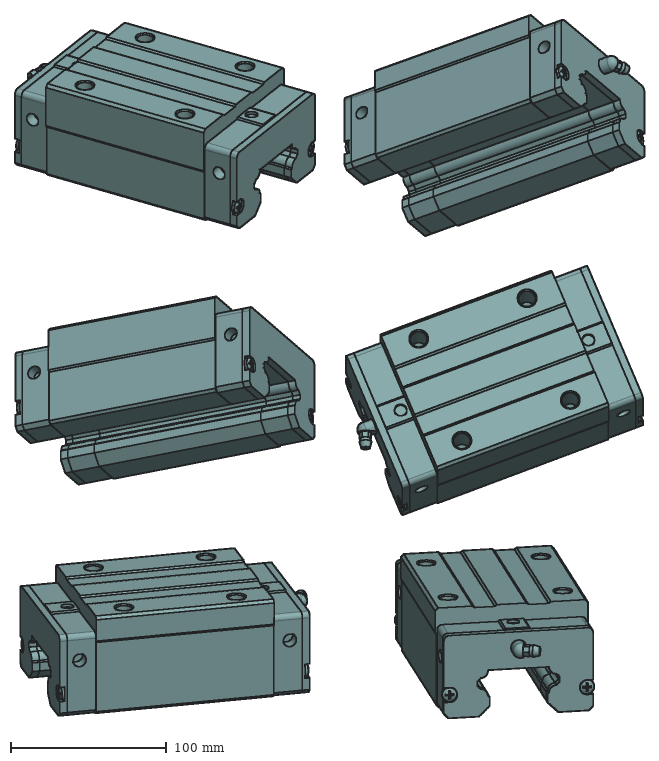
import cadquery as cq
import math


BLOCK_LENGTH = 118.2
CAP_LENGTH = 19.0
SEAL_THICKNESS = 5.0
BLOCK_END = BLOCK_LENGTH / 2
CAP_END = BLOCK_END + CAP_LENGTH
SEAL_END = CAP_END + SEAL_THICKNESS

BLOCK_WIDTH = 100.0
BLOCK_HEIGHT = 67.0
SKIRT_WIDTH = 98.5
SHOULDER_Z_FRONT = 36.0
SHOULDER_Z_BACK = 49.2
SHOULDER_SLOPE = 1.3
BLOCK_TOP_CHAMFER = 2.0
BLOCK_FOOT_CHAMFER = 1.8

GROOVE_DEPTH = 1.0
GROOVE_SIDE_RUN = 1.5
GROOVE_TOP_WIDTH = 16.0
GROOVE_OFFSET = 17.6

HOLE_PITCH = 74.9
HOLE_DIAMETER = 10.6
HOLE_MOUTH_DIAMETER = 12.4
HOLE_DEPTH = 21.5
DRILL_POINT_ANGLE = 118

OPENING_TOP_Z = 30.9
OPENING_TOP_HALF = 20.0
RACE_Z = 22.1
RACE_HALF_HEIGHT = 3.8
RACE_MOUTH_HALF = 24.6
RACE_WALL_HALF = 27.0
LOBE_RADIUS = RACE_MOUTH_HALF - OPENING_TOP_HALF
THROAT_HALF = 18.9
THROAT_TOP_Z = 12.8
THROAT_BOTTOM_Z = 6.8
MOUTH_HALF = 25.9

CAP_WIDTH = 97.5
CAP_HEIGHT = 55.7
CAP_TOP_RADIUS = 3.5
CAP_FOOT_CHAMFER = 2.9

PAD_HEIGHT = 1.0
PAD_BASE_WIDTH = 17.5
PAD_TOP_WIDTH = 15.3
TOP_PORT_X = 64.8
TOP_PORT_DIAMETER = 7.9
TOP_PORT_DEPTH = 2.0
SIDE_PORT_X = 69.9
SIDE_PORT_Z = 37.9
SIDE_PORT_DIAMETER = 8.6
SIDE_PORT_DEPTH = 9.0

SCREW_Y = 44.9
SCREW_Z = 15.6
SCREW_RADIUS = 4.8
SCREW_SEAT_DEPTH = 3.2
SCREW_RIM_THICKNESS = 1.8
CROSS_LENGTH = 5.4
CROSS_WIDTH = 0.9
CROSS_DEPTH = 1.6

NIPPLE_Z = 45.0
STUB_RADIUS = 5.0
STUB_LENGTH = 6.3
OUTLET_ANGLE = 20
OUTLET_FLAT = 2.2
HEX_END = 6.1
COLLAR_END = 8.5
TIP_END = 12.5
HEX_ACROSS_FLATS = 6.6
COLLAR_ROOT_RADIUS = 3.2
COLLAR_RADIUS = 4.0
TIP_RADIUS = 2.9
GREASE_HOLE_DIAMETER = 1.0
GREASE_HOLE_DEPTH = 1.8

ENDS = (-1, 1)
SIDES = (-1, 1)


def across(x):
    """Section plane at the given X: its local axes are Y and Z and it extrudes towards +X."""
    return cq.Workplane("YZ", origin=(x, 0, 0))


def on_arc(y, z, radius, degrees):
    """Point on a circle around (y, z)."""
    angle = math.radians(degrees)
    return y + radius * math.cos(angle), z + radius * math.sin(angle)


def opening_half(section, side):
    """Draw the opening's outline on one side from the roof down to the underside."""
    race_top = RACE_Z + RACE_HALF_HEIGHT
    race_bottom = RACE_Z - RACE_HALF_HEIGHT
    corner_chamfer = RACE_WALL_HALF - RACE_MOUTH_HALF
    upper_lobe_z = race_top + LOBE_RADIUS
    lower_lobe_z = race_bottom - LOBE_RADIUS
    upper_mid_y, upper_mid_z = on_arc(RACE_MOUTH_HALF, upper_lobe_z, LOBE_RADIUS, 225)
    lower_mid_y, lower_mid_z = on_arc(RACE_MOUTH_HALF, lower_lobe_z, LOBE_RADIUS, 135)
    return (
        section.moveTo(0, OPENING_TOP_Z)
        .lineTo(side * OPENING_TOP_HALF, OPENING_TOP_Z)
        .lineTo(side * OPENING_TOP_HALF, upper_lobe_z)
        .threePointArc((side * upper_mid_y, upper_mid_z), (side * RACE_MOUTH_HALF, race_top))
        .lineTo(side * RACE_WALL_HALF, race_top - corner_chamfer)
        .lineTo(side * RACE_WALL_HALF, race_bottom + corner_chamfer)
        .lineTo(side * RACE_MOUTH_HALF, race_bottom)
        .threePointArc((side * lower_mid_y, lower_mid_z), (side * OPENING_TOP_HALF, lower_lobe_z))
        .lineTo(side * THROAT_HALF, THROAT_TOP_Z)
        .lineTo(side * THROAT_HALF, THROAT_BOTTOM_Z)
        .lineTo(side * MOUTH_HALF, 0)
        .lineTo(0, 0)
        .close()
    )


def rail_opening(x, length):
    """Space for the rail, as a cutter."""
    halves = [opening_half(across(x), side).extrude(length) for side in SIDES]
    return halves[0].union(halves[1])


def make_block():
    half = BLOCK_WIDTH / 2
    skirt = SKIRT_WIDTH / 2
    block = (
        across(-BLOCK_END)
        .polyline([
            (-skirt + BLOCK_FOOT_CHAMFER, 0),
            (skirt - BLOCK_FOOT_CHAMFER, 0),
            (skirt, BLOCK_FOOT_CHAMFER),
            (skirt, SHOULDER_Z_BACK),
            (half, SHOULDER_Z_BACK + SHOULDER_SLOPE),
            (half, BLOCK_HEIGHT - BLOCK_TOP_CHAMFER),
            (half - BLOCK_TOP_CHAMFER, BLOCK_HEIGHT),
            (-half + BLOCK_TOP_CHAMFER, BLOCK_HEIGHT),
            (-half, BLOCK_HEIGHT - BLOCK_TOP_CHAMFER),
            (-half, SHOULDER_Z_FRONT + SHOULDER_SLOPE),
            (-skirt, SHOULDER_Z_FRONT),
            (-skirt, BLOCK_FOOT_CHAMFER),
        ])
        .close()
        .extrude(BLOCK_LENGTH)
    )
    block = block.cut(rail_opening(-BLOCK_END, BLOCK_LENGTH))
    for side in SIDES:
        block = block.cut(top_groove(side))
    for end in ENDS:
        for side in SIDES:
            block = block.cut(mounting_hole(end * HOLE_PITCH / 2, side * HOLE_PITCH / 2))
    return block


def top_groove(side):
    """Slant-sided groove along the whole block, as a cutter."""
    middle = side * GROOVE_OFFSET
    top_half = GROOVE_TOP_WIDTH / 2
    floor_half = top_half - GROOVE_SIDE_RUN
    floor_z = BLOCK_HEIGHT - GROOVE_DEPTH
    return (
        across(-BLOCK_END)
        .polyline([
            (middle - top_half, BLOCK_HEIGHT),
            (middle - floor_half, floor_z),
            (middle + floor_half, floor_z),
            (middle + top_half, BLOCK_HEIGHT),
        ])
        .close()
        .extrude(BLOCK_LENGTH)
    )


def mounting_hole(x, y):
    """Blind hole with a countersunk mouth and a drill point, as a cutter."""
    radius = HOLE_DIAMETER / 2
    mouth = HOLE_MOUTH_DIAMETER / 2
    point = radius / math.tan(math.radians(DRILL_POINT_ANGLE / 2))
    return (
        cq.Workplane("XZ")
        .polyline([
            (0, 0),
            (mouth, 0),
            (radius, radius - mouth),
            (radius, -HOLE_DEPTH),
            (0, -HOLE_DEPTH - point),
        ])
        .close()
        .revolve(360, (0, 0), (0, 1))
        .translate((x, y, BLOCK_HEIGHT))
    )


def cap_section(x, length):
    """Round-shouldered, chamfer-footed slab with the rail opening, shared by caps and seals."""
    return (
        across(x)
        .rect(CAP_WIDTH, CAP_HEIGHT)
        .extrude(length)
        .translate((0, 0, CAP_HEIGHT / 2))
        .edges("|X and >Z")
        .fillet(CAP_TOP_RADIUS)
        .edges("|X and <Z")
        .chamfer(CAP_FOOT_CHAMFER)
        .cut(rail_opening(x, length))
    )


def make_cap(end):
    start = BLOCK_END if end > 0 else -CAP_END
    cap = cap_section(start, CAP_LENGTH)
    pad = (
        across(start)
        .polyline([
            (-PAD_BASE_WIDTH / 2, CAP_HEIGHT),
            (PAD_BASE_WIDTH / 2, CAP_HEIGHT),
            (PAD_TOP_WIDTH / 2, CAP_HEIGHT + PAD_HEIGHT),
            (-PAD_TOP_WIDTH / 2, CAP_HEIGHT + PAD_HEIGHT),
        ])
        .close()
        .extrude(CAP_LENGTH)
    )
    top_port = (
        cq.Workplane("XY", origin=(end * TOP_PORT_X, 0, CAP_HEIGHT + PAD_HEIGHT))
        .circle(TOP_PORT_DIAMETER / 2)
        .extrude(-TOP_PORT_DEPTH)
    )
    cap = cap.union(pad).cut(top_port)
    for side in SIDES:
        side_port = (
            cq.Workplane("XZ", origin=(end * SIDE_PORT_X, side * CAP_WIDTH / 2, SIDE_PORT_Z))
            .circle(SIDE_PORT_DIAMETER / 2)
            .extrude(side * SIDE_PORT_DEPTH)
        )
        cap = cap.cut(side_port)
    return cap


def make_seal(end):
    start = CAP_END if end > 0 else -SEAL_END
    seal = cap_section(start, SEAL_THICKNESS)
    for side in SIDES:
        seal = seal.cut(screw_seat(end, side))
    return seal


def screw_seat(end, side):
    """Round-ended pocket, open to the seal's side and outer face, as a cutter."""
    seat = across(end * SEAL_END).center(side * SCREW_Y, SCREW_Z)
    round_end = seat.circle(SCREW_RADIUS).extrude(-end * SCREW_SEAT_DEPTH)
    open_side = (
        seat.center(side * SCREW_RADIUS / 2, 0)
        .rect(SCREW_RADIUS, 2 * SCREW_RADIUS)
        .extrude(-end * SCREW_SEAT_DEPTH)
    )
    return round_end.union(open_side)


def make_screw(end, side):
    """Domed, cross-recessed screw head resting on the floor of its seat."""
    dome_rise = SCREW_SEAT_DEPTH - SCREW_RIM_THICKNESS
    dome_radius = (SCREW_RADIUS**2 + dome_rise**2) / (2 * dome_rise)
    half_angle = math.degrees(math.asin(SCREW_RADIUS / dome_radius))
    dome_mid = on_arc(0, SCREW_SEAT_DEPTH - dome_radius, dome_radius, 90 - half_angle / 2)
    head = (
        cq.Workplane("XZ")
        .lineTo(SCREW_RADIUS, 0)
        .lineTo(SCREW_RADIUS, SCREW_RIM_THICKNESS)
        .threePointArc(dome_mid, (0, SCREW_SEAT_DEPTH))
        .close()
        .revolve(360, (0, 0), (0, 1))
    )
    for length, width in ((CROSS_LENGTH, CROSS_WIDTH), (CROSS_WIDTH, CROSS_LENGTH)):
        arm = cq.Workplane("XY", origin=(0, 0, SCREW_SEAT_DEPTH)).rect(length, width).extrude(-CROSS_DEPTH)
        head = head.cut(arm)
    floor_x = end * (SEAL_END - SCREW_SEAT_DEPTH)
    return head.rotate((0, 0, 0), (0, 1, 0), end * 90).translate((floor_x, side * SCREW_Y, SCREW_Z))


def make_nipple():
    bend_x = -SEAL_END - STUB_LENGTH
    angle = math.radians(OUTLET_ANGLE)
    outlet = cq.Plane(
        origin=(bend_x, 0, NIPPLE_Z),
        xDir=(0, 0, 1),
        normal=(-math.sin(angle), -math.cos(angle), 0),
    )

    stub = across(bend_x).center(0, NIPPLE_Z).circle(STUB_RADIUS).extrude(STUB_LENGTH)
    round_end = cq.Workplane("XY", origin=(bend_x, 0, NIPPLE_Z)).sphere(STUB_RADIUS)
    beyond_flat = (
        cq.Workplane(outlet)
        .workplane(offset=OUTLET_FLAT)
        .rect(4 * STUB_RADIUS, 4 * STUB_RADIUS)
        .extrude(STUB_RADIUS)
    )
    nipple = stub.union(round_end).cut(beyond_flat)

    hexagon = (
        cq.Workplane(outlet)
        .polygon(6, HEX_ACROSS_FLATS, circumscribed=True)
        .extrude(HEX_END)
    )
    collar = (
        cq.Workplane(outlet)
        .workplane(offset=HEX_END)
        .circle(COLLAR_ROOT_RADIUS)
        .workplane(offset=COLLAR_END - HEX_END)
        .circle(COLLAR_RADIUS)
        .loft()
    )
    tip = (
        cq.Workplane(outlet)
        .workplane(offset=COLLAR_END)
        .circle(COLLAR_RADIUS)
        .workplane(offset=TIP_END - COLLAR_END)
        .circle(TIP_RADIUS)
        .loft()
    )
    grease_hole = (
        cq.Workplane(outlet)
        .workplane(offset=TIP_END)
        .circle(GREASE_HOLE_DIAMETER / 2)
        .extrude(-GREASE_HOLE_DEPTH)
    )
    return nipple.union(hexagon).union(collar).union(tip).cut(grease_hole)


block = make_block()
caps = [make_cap(end) for end in ENDS]
seals = [make_seal(end) for end in ENDS]
screws = [make_screw(end, side) for end in ENDS for side in SIDES]
nipple = make_nipple()

result = cq.Compound.makeCompound([
    block.val(),
    *[cap.val() for cap in caps],
    *[seal.val() for seal in seals],
    *[screw.val() for screw in screws],
    nipple.val(),
])